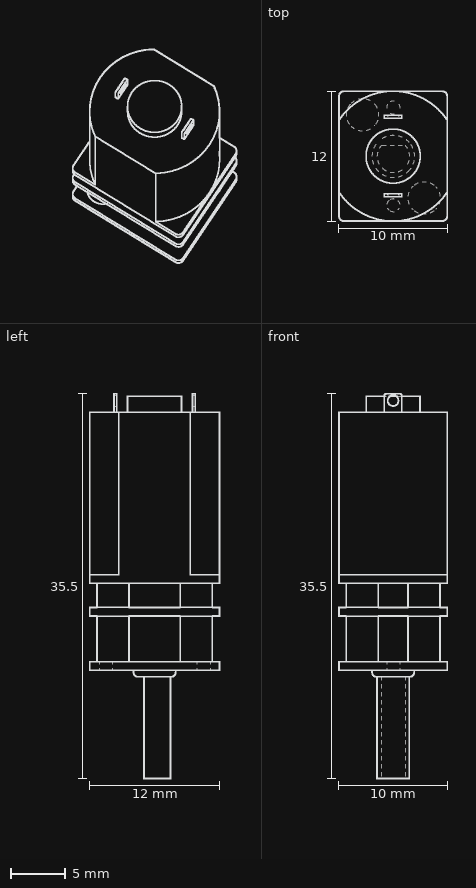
import cadquery as cq

overall_height = 35.52
plate_width = 10.0
plate_length = 12.0

plate_thickness = 0.8
plate_corner_radius = 0.5
output_plate_bottom = 9.98
middle_plate_bottom = 15.0
motor_plate_bottom = 18.0

post_diameter = 3.0
post_offset_x = 2.85
post_offset_y = 3.85

plate_hole_diameter = 1.2
plate_hole_offset_y = 4.5

shaft_diameter = 3.0
shaft_flat_y = 1.0
collar_diameter = 3.9
collar_height = 0.6
collar_fillet = 0.43

motor_bottom = motor_plate_bottom + plate_thickness
motor_height = 15.0
motor_top = motor_bottom + motor_height
boss_diameter = 5.0
boss_height = 1.5

terminal_width = 1.65
terminal_thickness = 0.3
terminal_offset_y = 3.62
terminal_corner_radius = 0.18
terminal_hole_diameter = 1.0
terminal_hole_below_top = 0.65


def cylinder(diameter, height, bottom, x=0, y=0):
    """Upright cylinder whose lower face is at Z = bottom."""
    return cq.Workplane("XY", origin=(x, y, bottom)).circle(diameter / 2).extrude(height)


def block(width, length, height, bottom, y=0):
    """Upright block, centred on X = 0, whose lower face is at Z = bottom."""
    return cq.Workplane("XY", origin=(0, y, bottom)).rect(width, length).extrude(height)


def make_plate(bottom):
    plate = block(plate_width, plate_length, plate_thickness, bottom)
    return plate.edges("|Z").fillet(plate_corner_radius)


def make_output_plate():
    plate = make_plate(output_plate_bottom)
    for y in (-plate_hole_offset_y, plate_hole_offset_y):
        plate = plate.cut(cylinder(plate_hole_diameter, plate_thickness, output_plate_bottom, y=y))
    return plate


def make_post(side):
    """Post at the +X -Y corner (side = 1) or the -X +Y corner (side = -1)."""
    bottom = output_plate_bottom + plate_thickness
    height = motor_plate_bottom - bottom
    return cylinder(post_diameter, height, bottom, side * post_offset_x, -side * post_offset_y)


def make_shaft():
    radius = shaft_diameter / 2
    depth_behind_flat = radius + shaft_flat_y
    flat_limit = block(
        shaft_diameter, depth_behind_flat, output_plate_bottom, 0, shaft_flat_y - depth_behind_flat / 2
    )
    return cylinder(shaft_diameter, output_plate_bottom, 0).intersect(flat_limit)


def make_collar():
    collar = cylinder(collar_diameter, collar_height, output_plate_bottom - collar_height)
    return collar.faces("<Z").edges().fillet(collar_fillet)


def make_motor():
    """Round can with a flat on each X side, carrying a round boss on top."""
    can = cylinder(plate_length, motor_height, motor_bottom)
    can = can.intersect(block(plate_width, plate_length, motor_height, motor_bottom))
    return can.union(cylinder(boss_diameter, boss_height, motor_top))


def make_terminal(y):
    height = overall_height - motor_top
    tab = block(terminal_width, terminal_thickness, height, motor_top, y)
    tab = tab.faces(">Z").edges("|Y").fillet(terminal_corner_radius)
    hole = (
        cq.Workplane("XZ", origin=(0, y, overall_height - terminal_hole_below_top))
        .circle(terminal_hole_diameter / 2)
        .extrude(terminal_thickness, both=True)
    )
    return tab.cut(hole)


result = make_motor()
result = result.union(make_plate(motor_plate_bottom))
for side in (-1, 1):
    result = result.union(make_post(side))
    result = result.union(make_terminal(side * terminal_offset_y))
result = result.union(make_plate(middle_plate_bottom))
result = result.union(make_output_plate())
result = result.union(make_collar())
result = result.union(make_shaft())